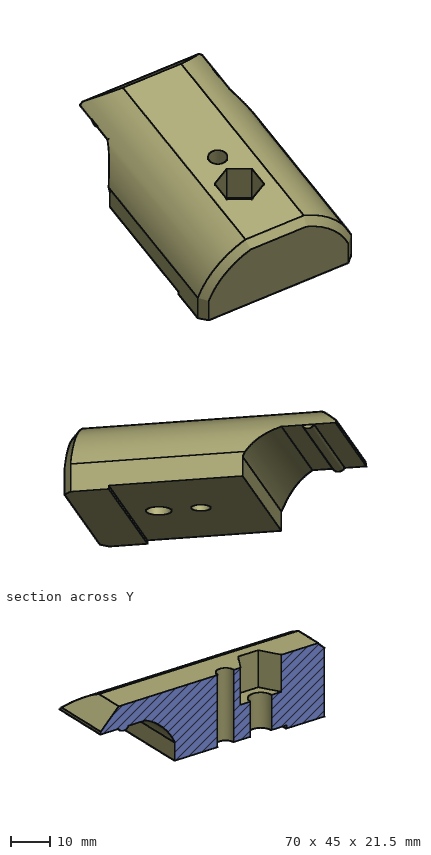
import cadquery as cq
import math

length = 70.0
width = 45.0
height = 21.5

shoulder_radius = 24.0
top_flat_width = 17.1
half_width = width / 2
half_top = top_flat_width / 2
shoulder_axis_z = height - math.sqrt(shoulder_radius**2 - half_top**2)

end_chamfer = 2.0
nose_bevel = 5.6
nose_underside_z = 15.0
hollow_start_x = 14.1
hollow_end_x = 23.2
hollow_end_z = 6.1
hollow_radius = 17.3
foot_start_x = 58.0
foot_step = 0.9

rib_x = 7.2
rib_radius = 1.75
rib_projection = 1.0
rib_length = 35.55

pin_hole_x = 39.05
pin_hole_diameter = 5.0
bolt_x = 50.05
bolt_hole_diameter = 6.6
nut_across_flats = 10.9
nut_depth = 10.5


def make_shoulders():
    """Round bar along X, chamfered at the far end, that shapes both shoulders."""
    return (
        cq.Workplane("XY")
        .moveTo(0, 0)
        .lineTo(length, 0)
        .lineTo(length, shoulder_radius - end_chamfer)
        .lineTo(length - end_chamfer, shoulder_radius)
        .lineTo(0, shoulder_radius)
        .close()
        .revolve(360, (0, 0, 0), (1, 0, 0))
        .translate((0, 0, shoulder_axis_z))
    )


def make_plan():
    """Straight-sided block with the two far vertical corners chamfered."""
    return (
        cq.Workplane("XY")
        .box(length, width, height, centered=(False, True, False))
        .edges("|Z and >X")
        .chamfer(end_chamfer)
    )


def make_side_profile():
    """Lengthwise outline with the top end chamfer, extruded across the full width."""
    return (
        cq.Workplane("XZ")
        .moveTo(0, nose_underside_z)
        .lineTo(hollow_start_x, nose_underside_z)
        .radiusArc((hollow_end_x, hollow_end_z), hollow_radius)
        .lineTo(hollow_end_x, foot_step)
        .lineTo(foot_start_x, foot_step)
        .lineTo(foot_start_x, 0)
        .lineTo(length, 0)
        .lineTo(length, height - end_chamfer)
        .lineTo(length - end_chamfer, height)
        .lineTo(nose_bevel, height)
        .lineTo(0, height - nose_bevel)
        .close()
        .extrude(half_width, both=True)
    )


def make_rib():
    """Round bar across the nose, partly sunk into its underside."""
    axis_z = nose_underside_z - rib_projection + rib_radius
    return (
        cq.Workplane("XZ")
        .center(rib_x, axis_z)
        .circle(rib_radius)
        .extrude(rib_length / 2, both=True)
        .intersect(
            cq.Workplane("XY", origin=(0, 0, nose_underside_z - rib_projection))
            .rect(length, width)
            .extrude(rib_projection)
        )
    )


def make_hole(x, diameter):
    """Cutter for a vertical through hole on the centre line."""
    return cq.Workplane("XY").center(x, 0).circle(diameter / 2).extrude(height)


def make_nut_pocket():
    """Hexagonal cutter with two corners along X."""
    across_corners = nut_across_flats / math.cos(math.pi / 6)
    return (
        cq.Workplane("XY", origin=(bolt_x, 0, height - nut_depth))
        .polygon(6, across_corners)
        .extrude(nut_depth)
    )


result = (
    make_plan()
    .intersect(make_shoulders())
    .intersect(make_side_profile())
    .union(make_rib())
    .cut(make_hole(pin_hole_x, pin_hole_diameter))
    .cut(make_hole(bolt_x, bolt_hole_diameter))
    .cut(make_nut_pocket())
)